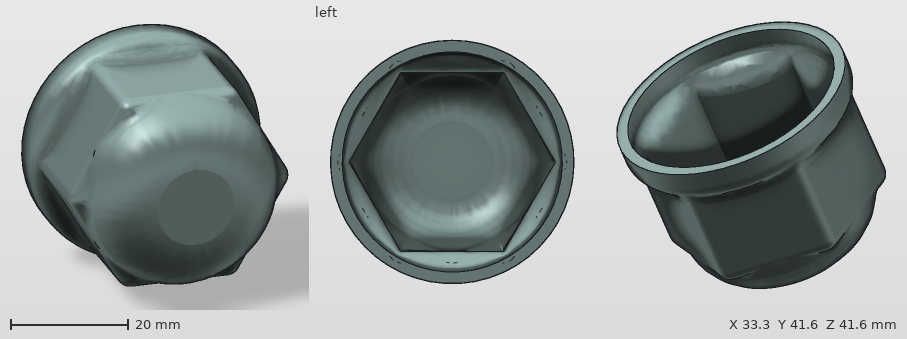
import cadquery as cq
import math

length = 33.3
wall = 2.0
flange_radius = 20.8
rim_length = 3.08
flange_round = 3.55
neck_fillet = 3.2
across_flats = 34.53
hex_round = 2.4
dome_round = 10.4
dome_gap = 0.02
collar_fillet = 2.9

corner_count = 6
half_angle = math.pi / corner_count
dome_start = length - dome_round
hex_middle = dome_start / 2
dome_middle = dome_start + dome_round / 2


def hex_prism(inset):
    """Hexagon with corners on the Y axis, rounded on its long edges and far end."""
    corner_radius = (across_flats / 2 - inset) / math.cos(half_angle)
    rounding = hex_round - inset
    prism = cq.Workplane("YZ").polygon(corner_count, 2 * corner_radius).extrude(dome_start + rounding)
    prism = prism.edges("|X").fillet(rounding)
    return prism.faces(">X").edges().fillet(rounding)


def rounded_disc(radius, end, rounding):
    """Disc from X = 0 to the given end, with its far rim rounded.

    It is turned so that its closing line runs along the middle of a flat.
    """
    disc = cq.Workplane("YZ").circle(radius).extrude(end)
    disc = disc.faces(">X").edges().fillet(rounding)
    return disc.rotate((0, 0, 0), (1, 0, 0), 90)


def blend_seam(body, start, end, radius):
    """Fillet the curved seam that lies wholly between two X positions."""
    zone = cq.selectors.BoxSelector((start, -length, -length), (end, length, length), boundingbox=True)
    return body.edges(zone).edges("%BSPLINE").fillet(radius)


def cap_body(inset):
    """The whole cap as a solid, with every surface moved inward by the inset."""
    flange_edge = flange_round - inset
    flange = rounded_disc(flange_radius - inset, rim_length + flange_edge, flange_edge)
    body = hex_prism(inset).union(flange)
    body = blend_seam(body, 0, hex_middle, neck_fillet + inset)

    dome_inset = inset + dome_gap
    dome = rounded_disc(across_flats / 2 - dome_inset, length - inset, dome_round - dome_inset)
    body = body.union(dome)
    return blend_seam(body, hex_middle, dome_middle, collar_fillet + inset)


result = cap_body(0).cut(cap_body(wall)).solids()